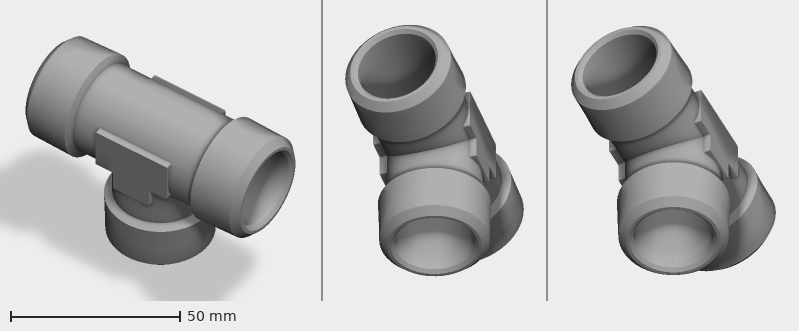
import cadquery as cq

arm_length = 39.0
bore_diameter = 24.0
bore_mouth_diameter = 26.05
bore_chamfer = (bore_mouth_diameter - bore_diameter) / 2
tube_diameter = 28.6

collar_length = 17.5
shoulder_length = 1.3
collar_inner_diameter = 33.5
collar_outer_diameter = 32.7
tip_chamfer = 2.3

pad_width = 26.0
pad_height = 13.1
stem_width = 12.95
stem_drop = 12.95
across_pads = 29.95
pad_corner_radius = 0.5
stem_corner_radius = 0.3


def arm_outside(direction):
    """Solid arm with its collar, reaching from the origin to the tip."""
    tube_radius = tube_diameter / 2
    collar_radius = collar_outer_diameter / 2
    profile = (
        cq.Workplane("XY")
        .moveTo(0, 0)
        .lineTo(tube_radius, 0)
        .lineTo(tube_radius, arm_length - collar_length)
        .lineTo(collar_inner_diameter / 2, arm_length - collar_length + shoulder_length)
        .lineTo(collar_radius, arm_length - tip_chamfer)
        .lineTo(collar_radius - tip_chamfer, arm_length)
        .lineTo(0, arm_length)
        .close()
    )
    return place_arm(profile.revolve(360, (0, 0, 0), (0, 1, 0)), direction)


def arm_bore(direction):
    """Bore from the origin to the arm tip, with a chamfered mouth."""
    bore_radius = bore_diameter / 2
    profile = (
        cq.Workplane("XY")
        .moveTo(0, 0)
        .lineTo(bore_radius, 0)
        .lineTo(bore_radius, arm_length - bore_chamfer)
        .lineTo(bore_mouth_diameter / 2, arm_length)
        .lineTo(0, arm_length)
        .close()
    )
    return place_arm(profile.revolve(360, (0, 0, 0), (0, 1, 0)), direction)


def place_arm(arm, direction):
    """Turn an arm built along +Y to the left, right or down."""
    if direction == "down":
        return arm.rotate((0, 0, 0), (1, 0, 0), -90)
    angle = 90 if direction == "left" else -90
    return arm.rotate((0, 0, 0), (0, 0, 1), angle)


def pads():
    """T-shaped block through the tee; its two ends form the side pads."""
    half_height = pad_height / 2
    bar = cq.Workplane("XZ").rect(pad_width, pad_height).extrude(across_pads / 2, both=True)
    stem = (
        cq.Workplane("XZ")
        .center(0, -stem_drop / 2)
        .rect(stem_width, stem_drop)
        .extrude(across_pads / 2, both=True)
    )
    bar_corners = cq.selectors.BoxSelector(
        (-pad_width, -across_pads, -half_height - pad_corner_radius),
        (pad_width, across_pads, half_height + pad_corner_radius),
    )
    rounded_bar = bar.union(stem).edges("|Y").edges(bar_corners).fillet(pad_corner_radius)
    return rounded_bar.faces("<Z").edges("|Y").fillet(stem_corner_radius)


directions = ("left", "right", "down")
result = pads()
for direction in directions:
    result = result.union(arm_outside(direction))
for direction in directions:
    result = result.cut(arm_bore(direction))